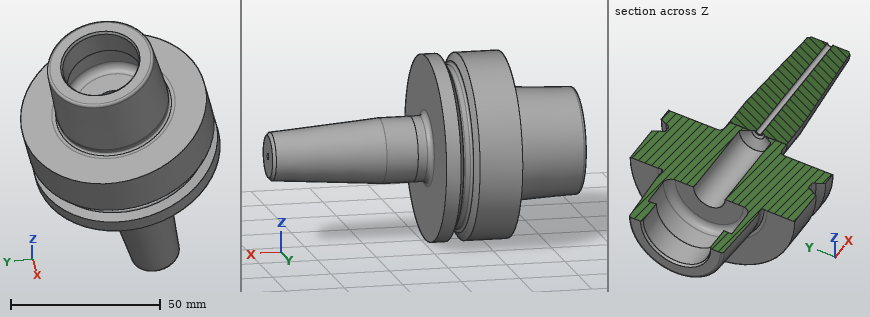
import cadquery as cq
import math

total_length = 105.0
flange_radius = 31.5

taper_front_radius = 18.1
taper_back_radius = 19.1
taper_back_x = 22.5
taper_edge_round = 0.9

flange_face_x = 25.0
undercut_radius = 18.9
undercut_start_x = 23.4
undercut_end_x = 24.4
undercut_round = 0.8
relief_outer_radius = 20.9
relief_angle = math.radians(8)

flange_width = 26.0
flange_back_x = flange_face_x + flange_width
groove_center_x = 42.8
groove_mouth_width = 6.5
groove_floor_width = 3.4
groove_floor_radius = 27.5
groove_floor_round = 0.8
groove_wall_angle = math.radians(30)

shank_radius = 11.0
shank_fillet = 1.9
joint_x = 56.1
nose_cone_start_x = 66.8
nose_tip_radius = 8.2
nose_chamfer = 1.0

bore_radius = 12.9
bore_chamfer_depth = 0.5
bore_chamfer_length = 0.9
clamp_shoulder_x = 9.9
cavity_radius = 16.0
cavity_corner_x = 20.0
cavity_corner_round = 2.9
cavity_floor_x = cavity_corner_x + cavity_corner_round

drill_radius = 6.0
drill_radius_at_joint = 2.4
drill_point_end_radius = 1.5
drill_point_angle = math.radians(59)
passage_radius = 1.0


def cone_length(large_radius, small_radius, half_angle):
    """Axial length of a cone between two radii."""
    return (large_radius - small_radius) / math.tan(half_angle)


def turned(profile):
    """Solid of revolution of an (x, radius) profile about the X axis."""
    return profile.close().revolve(360, (0, 0, 0), (1, 0, 0))


def holder_blank():
    """Taper, undercut, flange and stub without any inner cavities."""
    lean = math.sin(relief_angle)
    rise = math.cos(relief_angle)
    round_center_r = undercut_radius + undercut_round
    round_end = (undercut_end_x + undercut_round * rise, round_center_r - undercut_round * lean)
    half_turn = (math.pi / 2 - relief_angle) / 2
    round_middle = (
        undercut_end_x + undercut_round * math.sin(half_turn),
        round_center_r - undercut_round * math.cos(half_turn),
    )
    profile = (
        cq.Workplane("XY")
        .moveTo(0, 0)
        .lineTo(0, taper_front_radius - taper_edge_round)
        .radiusArc((taper_edge_round, taper_front_radius), taper_edge_round)
        .lineTo(taper_back_x, taper_back_radius)
        .lineTo(undercut_start_x, undercut_radius)
        .lineTo(undercut_end_x, undercut_radius)
        .threePointArc(round_middle, round_end)
        .lineTo(flange_face_x, relief_outer_radius)
        .lineTo(flange_face_x, flange_radius)
        .lineTo(flange_back_x, flange_radius)
        .lineTo(flange_back_x, shank_radius + shank_fillet)
        .radiusArc((flange_back_x + shank_fillet, shank_radius), -shank_fillet)
        .lineTo(joint_x, shank_radius)
        .lineTo(joint_x, 0)
    )
    return turned(profile)


def gripper_groove():
    """Ring cut into the flange: sloped mouth walls and a floor with rounded corners."""
    mouth = groove_mouth_width / 2
    half_floor = groove_floor_width / 2
    slope_end_r = flange_radius - (mouth - half_floor) / math.tan(groove_wall_angle)
    corner_r = groove_floor_radius + groove_floor_round
    flat = half_floor - groove_floor_round
    profile = (
        cq.Workplane("XY", origin=(groove_center_x, 0, 0))
        .moveTo(-mouth, flange_radius)
        .lineTo(-half_floor, slope_end_r)
        .lineTo(-half_floor, corner_r)
        .radiusArc((-flat, groove_floor_radius), -groove_floor_round)
        .lineTo(flat, groove_floor_radius)
        .radiusArc((half_floor, corner_r), -groove_floor_round)
        .lineTo(half_floor, slope_end_r)
        .lineTo(mouth, flange_radius)
    )
    return turned(profile)


def clamping_bore():
    """Chamfered mouth that steps out into a wider cavity with a rounded floor corner."""
    profile = (
        cq.Workplane("XY")
        .moveTo(0, 0)
        .lineTo(0, bore_radius + bore_chamfer_depth)
        .lineTo(bore_chamfer_length, bore_radius)
        .lineTo(clamp_shoulder_x, bore_radius)
        .lineTo(clamp_shoulder_x, cavity_radius)
        .lineTo(cavity_corner_x, cavity_radius)
        .radiusArc((cavity_floor_x, cavity_radius - cavity_corner_round), cavity_corner_round)
        .lineTo(cavity_floor_x, 0)
    )
    return turned(profile)


def coolant_passage():
    """Deep drilled hole with a pointed end, then a narrow hole out through the nose tip."""
    point_start_x = joint_x - cone_length(drill_radius, drill_radius_at_joint, drill_point_angle)
    point_end_x = joint_x + cone_length(drill_radius_at_joint, drill_point_end_radius, drill_point_angle)
    profile = (
        cq.Workplane("XY")
        .moveTo(cavity_floor_x, 0)
        .lineTo(cavity_floor_x, drill_radius)
        .lineTo(point_start_x, drill_radius)
        .lineTo(point_end_x, drill_point_end_radius)
        .lineTo(point_end_x, passage_radius)
        .lineTo(total_length, passage_radius)
        .lineTo(total_length, 0)
    )
    return turned(profile)


def nose_blank():
    chamfer_x = total_length - nose_chamfer
    profile = (
        cq.Workplane("XY")
        .moveTo(joint_x, 0)
        .lineTo(joint_x, shank_radius)
        .lineTo(nose_cone_start_x, shank_radius)
        .lineTo(chamfer_x, nose_tip_radius)
        .lineTo(total_length, nose_tip_radius - nose_chamfer)
        .lineTo(total_length, 0)
    )
    return turned(profile)


passage = coolant_passage()
holder = holder_blank().cut(gripper_groove()).cut(clamping_bore()).cut(passage)
nose = nose_blank().cut(passage)

result = cq.Compound.makeCompound([holder.val(), nose.val()])